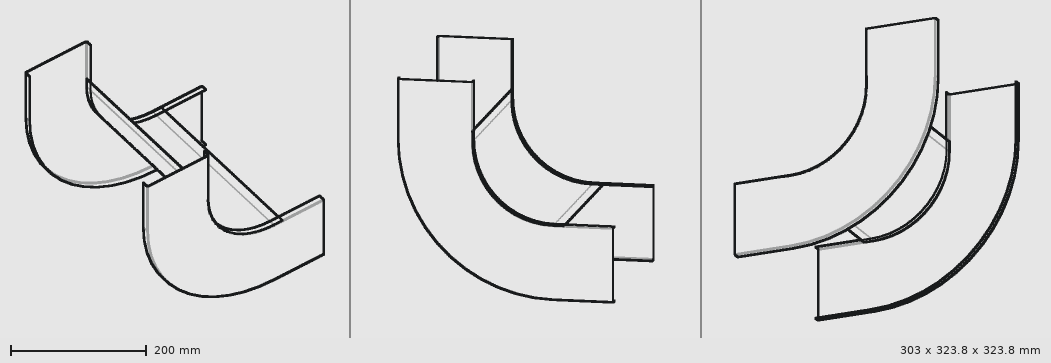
import cadquery as cq
import math

overall_width = 303.0
overall_reach = 323.8

channel_depth = 113.0
flange_width = 11.0
sheet_thickness = 1.0
corner_radius = 2.0
straight_length = 90.5

panel_overhang = 16.0

outer_bend_radius = overall_reach - straight_length
inner_bend_radius = outer_bend_radius - channel_depth
bend_centre = outer_bend_radius
panel_length = overall_width - 2 * corner_radius
panel_inner_radius = inner_bend_radius + sheet_thickness
panel_outer_radius = panel_inner_radius + sheet_thickness


def elbow_path():
    """Outer edge of the elbow: down, round the bend and along +Y (local x = Y, y = Z)."""
    arc_middle = bend_centre - outer_bend_radius * math.sqrt(0.5)
    return (
        cq.Workplane("YZ")
        .moveTo(0, overall_reach)
        .lineTo(0, bend_centre)
        .threePointArc((arc_middle, arc_middle), (bend_centre, 0))
        .lineTo(overall_reach, 0)
    )


def rounded_bar(inset):
    """Elbow-shaped bar, inset from the channel's outside on the wall and flange faces.

    The wall is at x = inset, with the two corners beside it rounded.
    """
    radius = corner_radius - inset
    corner_offset = radius * (1 - math.sqrt(0.5))
    outer_flange = inset
    inner_flange = channel_depth - inset
    arc_start = inset + radius
    arc_middle = inset + corner_offset
    section = (
        cq.Workplane("XY", origin=(0, 0, overall_reach))
        .moveTo(flange_width, outer_flange)
        .lineTo(arc_start, outer_flange)
        .threePointArc((arc_middle, outer_flange + corner_offset), (inset, outer_flange + radius))
        .lineTo(inset, inner_flange - radius)
        .threePointArc((arc_middle, inner_flange - corner_offset), (arc_start, inner_flange))
        .lineTo(flange_width, inner_flange)
        .close()
    )
    return section.sweep(elbow_path())


def make_side_channel(side):
    """U channel with flanges facing the middle; side is -1 for -X and +1 for +X."""
    channel = rounded_bar(0).cut(rounded_bar(sheet_thickness))
    channel = channel.translate((-overall_width / 2, 0, 0))
    if side > 0:
        channel = channel.mirror("YZ")
    return channel


def make_curved_panel():
    """Quarter-round sheet with a short flat at each end, running along X."""
    inner_face = bend_centre - panel_inner_radius
    outer_face = bend_centre - panel_outer_radius
    inner_middle = bend_centre - panel_inner_radius * math.sqrt(0.5)
    outer_middle = bend_centre - panel_outer_radius * math.sqrt(0.5)
    panel_end = bend_centre + panel_overhang
    return (
        cq.Workplane("YZ")
        .moveTo(outer_face, panel_end)
        .lineTo(outer_face, bend_centre)
        .threePointArc((outer_middle, outer_middle), (bend_centre, outer_face))
        .lineTo(panel_end, outer_face)
        .lineTo(panel_end, inner_face)
        .lineTo(bend_centre, inner_face)
        .threePointArc((inner_middle, inner_middle), (inner_face, bend_centre))
        .lineTo(inner_face, panel_end)
        .close()
        .extrude(panel_length / 2, both=True)
    )


side_channels = [make_side_channel(side) for side in (-1, 1)]
curved_panel = make_curved_panel()

result = cq.Compound.makeCompound([*[channel.val() for channel in side_channels], curved_panel.val()])